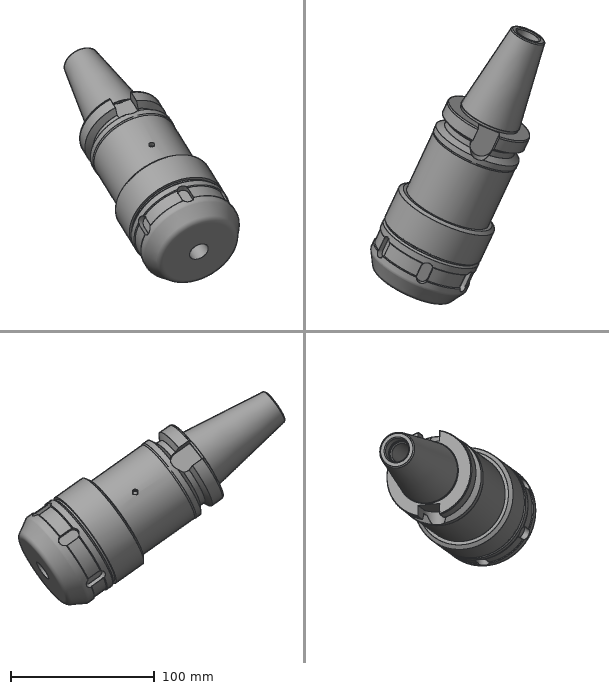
import cadquery as cq
import math

length = 200.5
nut_dia = 73.0

taper_length = 65.3
taper_dia = 44.5
taper_ratio = 7 / 24
taper_end_dia = taper_dia - taper_length * taper_ratio
taper_end_chamfer = 0.8
neck_dia = 43.5

flange_start = 67.1
flange_dia = 62.5
flange_chamfer_length = 1.2
flange_chamfer_depth = 0.5
groove_wall_start = 77.0
groove_dia = 53.0
groove_floor_end = 84.0
groove_wall_slope = math.tan(math.radians(60))
collar_dia = 63.3
collar_end = 91.2
body_start = 92.4
groove_floor_start = groove_wall_start + (flange_dia - groove_dia) / 2 / groove_wall_slope
collar_start = groove_floor_end + (collar_dia - groove_dia) / 2 / groove_wall_slope

body_dia = 62.5
head_start = 138.3
head_end = 163.7
head_chamfer_length = 1.8
head_chamfer_depth = 2.8

gap_dia = 69.3
nut_start = 165.3
nut_chamfer = 1.5
band_start = 171.5
band_end = 183.0
band_dia = 71.5
band_wall_slant = 0.6
nose_start = 188.0
nose_angle = 30.0
nose_end_fillet = 4.8
nose_edge_fillet = 3.2
nose_end_dia = nut_dia - 2 * (length - nose_start) * math.tan(math.radians(nose_angle))

slot_count = 6
slot_first_angle = 30.0
slot_length = 15.8
slot_width = 8.2
slot_floor_radius = 32.0
slot_center = 177.8

keyway_width = 16.0
keyway_end = 88.2
keyway_floor_radius = 22.5

pin_hole_x = 120.5
pin_hole_dia = 4.0
pin_hole_depth = 3.5
pin_pilot_dia = 3.5
pin_pilot_depth = 4.0

mouth_dia = 18.6
counterbore_dia = 17.0
counterbore_depth = 7.0
relief_dia = 16.0
relief_length = 2.0
relief_end = counterbore_depth + relief_length
bore_dia = 14.2
mouth_depth = (mouth_dia - counterbore_dia) / 2
bore_start = relief_end + (relief_dia - bore_dia) / 2


def revolve_profile(points):
    """Revolve (x, diameter) points, closed along the X axis, about that axis."""
    half_profile = [(x, dia / 2) for x, dia in points]
    first_x = half_profile[0][0]
    last_x = half_profile[-1][0]
    outline = [(first_x, 0)] + half_profile + [(last_x, 0)]
    return cq.Workplane("XY").polyline(outline).close().revolve(360, (0, 0, 0), (1, 0, 0))


def make_shank_and_head():
    """Taper, flange, gripper groove, collar, body, head and the core under the gap."""
    return revolve_profile([
        (0, taper_end_dia - 2 * taper_end_chamfer),
        (taper_end_chamfer, taper_end_dia + taper_end_chamfer * taper_ratio),
        (taper_length, taper_dia),
        (taper_length, neck_dia),
        (flange_start, neck_dia),
        (flange_start, flange_dia - 2 * flange_chamfer_depth),
        (flange_start + flange_chamfer_length, flange_dia),
        (groove_wall_start, flange_dia),
        (groove_floor_start, groove_dia),
        (groove_floor_end, groove_dia),
        (collar_start, collar_dia),
        (collar_end, collar_dia),
        (body_start, body_dia),
        (head_start, body_dia),
        (head_start, nut_dia - 2 * head_chamfer_depth),
        (head_start + head_chamfer_length, nut_dia),
        (head_end, nut_dia),
        (head_end, gap_dia),
        (nut_start, gap_dia),
    ])


def make_nut():
    """Clamping nut with a shallow band and a rounded conical nose."""
    nut = revolve_profile([
        (nut_start, nut_dia - 2 * nut_chamfer),
        (nut_start + nut_chamfer, nut_dia),
        (band_start, nut_dia),
        (band_start + band_wall_slant, band_dia),
        (band_end - band_wall_slant, band_dia),
        (band_end, nut_dia),
        (nose_start, nut_dia),
        (length, nose_end_dia),
    ])
    nut = nut.faces(">X").edges().fillet(nose_end_fillet)
    nose_edge = cq.selectors.NearestToPointSelector((nose_start, 0, 0))
    return nut.edges("%CIRCLE").edges(nose_edge).fillet(nose_edge_fillet)


def make_slots():
    """Round-ended wrench slots with flat floors, evenly spaced around the nut."""
    slot = (
        cq.Workplane("XY", origin=(slot_center, 0, slot_floor_radius))
        .slot2D(slot_length, slot_width)
        .extrude(nut_dia / 2)
    )
    slots = cq.Workplane("XY")
    for index in range(slot_count):
        angle = slot_first_angle + index * 360 / slot_count
        slots = slots.add(slot.rotate((0, 0, 0), (1, 0, 0), angle - 90))
    return slots.combine()


def make_keyways():
    """Two flat-floored keyways, open towards the taper and round at the far end."""
    end_center = keyway_end - keyway_width / 2
    keyway = (
        cq.Workplane("XY", origin=(0, 0, keyway_floor_radius))
        .moveTo(taper_length, -keyway_width / 2)
        .lineTo(end_center, -keyway_width / 2)
        .threePointArc((keyway_end, 0), (end_center, keyway_width / 2))
        .lineTo(taper_length, keyway_width / 2)
        .close()
        .extrude(collar_dia / 2)
    )
    return keyway.union(keyway.mirror("XY"))


def make_pin_hole():
    """Wide upper hole stepping down to a short, narrower pilot."""
    top_of_body = cq.Workplane("XY", origin=(pin_hole_x, 0, body_dia / 2))
    upper_hole = top_of_body.circle(pin_hole_dia / 2).extrude(-pin_hole_depth)
    pilot = top_of_body.circle(pin_pilot_dia / 2).extrude(-pin_pilot_depth)
    return upper_hole.union(pilot)


def make_bore():
    """Chamfered counterbore leading through a relief step and a short cone into the through bore."""
    return revolve_profile([
        (0, mouth_dia),
        (mouth_depth, counterbore_dia),
        (counterbore_depth, counterbore_dia),
        (counterbore_depth, relief_dia),
        (relief_end, relief_dia),
        (bore_start, bore_dia),
        (length, bore_dia),
    ])


result = (
    make_shank_and_head()
    .union(make_nut())
    .cut(make_slots())
    .cut(make_keyways())
    .cut(make_pin_hole())
    .cut(make_bore())
)